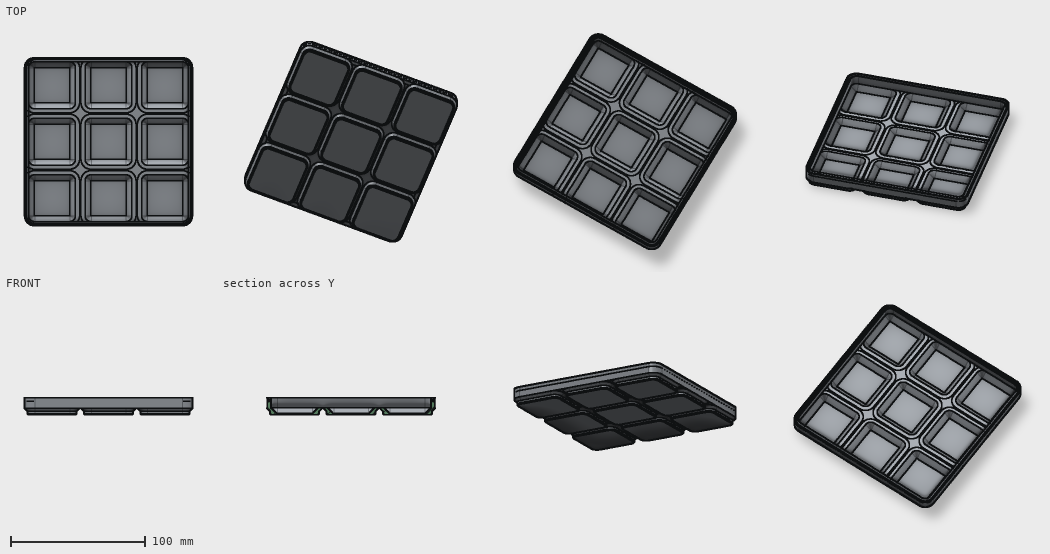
import cadquery as cq

pitch = 42.0
cells_per_side = 3
foot_width = 41.0
tray_width = pitch * (cells_per_side - 1) + foot_width
tray_height = 12.75
corner_radius = 7.5

foot_height = 4.75
lower_chamfer = 0.8
straight_height = 1.8
upper_chamfer = foot_height - lower_chamfer - straight_height

wall_thickness = 3.05
floor_top = 5.3
pocket_depth = 4.3
pocket_slope_run = pocket_depth

rim_width = 0.8
groove_width = 0.8
groove_depth = 2.75
slant_height = 1.75


def rounded_square(width, inset, z):
    """Face of a square with rounded corners, stepped in from a square of the given width."""
    side = width - 2 * inset
    outline = cq.Sketch().rect(side, side).vertices().fillet(corner_radius - inset)
    return cq.Workplane("XY", origin=(0, 0, z)).placeSketch(outline)


def straight_block(width, inset, bottom, top):
    return rounded_square(width, inset, bottom).extrude(top - bottom)


def tapered_block(width, bottom_inset, bottom, top_inset, top):
    """Block whose sides slope, with cone corners, between two insets."""
    outlines = [
        rounded_square(width, inset, z).extrude(top - bottom).faces("<Z").wires().val()
        for inset, z in [(bottom_inset, bottom), (top_inset, top)]
    ]
    return cq.Workplane(obj=cq.Solid.makeLoft(outlines, True))


def foot():
    bottom_inset = upper_chamfer + lower_chamfer
    straight_top = lower_chamfer + straight_height
    lower = tapered_block(foot_width, bottom_inset, 0, upper_chamfer, lower_chamfer)
    middle = straight_block(foot_width, upper_chamfer, lower_chamfer, straight_top)
    upper = tapered_block(foot_width, upper_chamfer, straight_top, 0, foot_height)
    return lower.union(middle).union(upper)


def pocket():
    floor_inset = wall_thickness + pocket_slope_run
    pocket_floor = floor_top - pocket_depth
    return tapered_block(foot_width, floor_inset, pocket_floor, wall_thickness, floor_top)


def cavity():
    return straight_block(tray_width, wall_thickness, floor_top, tray_height)


def top_groove():
    """Ring cut into the top of the wall: a straight channel below a slanted inner side."""
    inner_inset = rim_width + groove_width
    groove_bottom = tray_height - groove_depth
    slant_bottom = tray_height - slant_height
    outer = straight_block(tray_width, rim_width, groove_bottom, tray_height)
    core = straight_block(tray_width, inner_inset, groove_bottom, slant_bottom)
    slant = tapered_block(tray_width, inner_inset, slant_bottom, wall_thickness, tray_height)
    return outer.cut(core).cut(slant)


def cell_centres():
    first = -pitch * (cells_per_side - 1) / 2
    steps = [first + pitch * i for i in range(cells_per_side)]
    return [(x, y, 0) for x in steps for y in steps]


result = straight_block(tray_width, 0, foot_height, tray_height)
for centre in cell_centres():
    result = result.union(foot().translate(centre))

result = result.cut(cavity())
for centre in cell_centres():
    result = result.cut(pocket().translate(centre))

result = result.cut(top_groove())